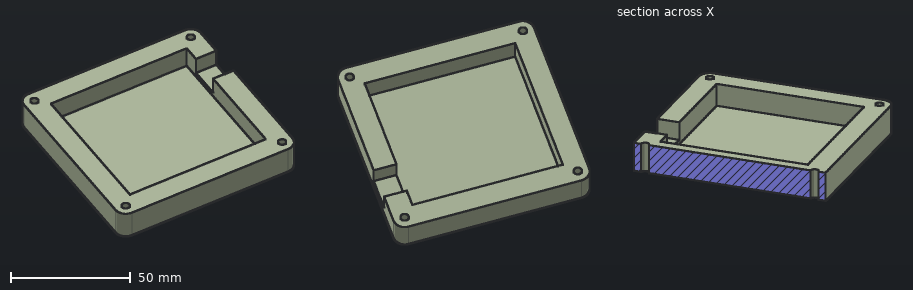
import cadquery as cq

width = 84.5
length = 86.0
height = 13.0
corner_radius = 5.0

wall = 10.0
pocket_depth = 10.0

notch_width = 14.0
notch_offset = 17.55
notch_depth = 8.0

hole_diameter = 3.4
hole_spacing_x = width - 2 * corner_radius
hole_spacing_y = length - 2 * corner_radius

block = (
    cq.Workplane("XY")
    .box(width, length, height, centered=(True, True, False))
    .edges("|Z")
    .fillet(corner_radius)
)

pocket = (
    cq.Workplane("XY", origin=(0, 0, height))
    .rect(width - 2 * wall, length - 2 * wall)
    .extrude(-pocket_depth)
)

notch_center_x = -width / 2 + notch_offset + notch_width / 2
notch_center_y = length / 2 - wall / 2
notch = (
    cq.Workplane("XY", origin=(notch_center_x, notch_center_y, height))
    .rect(notch_width, wall)
    .extrude(-notch_depth)
)

holes = (
    cq.Workplane("XY")
    .rect(hole_spacing_x, hole_spacing_y, forConstruction=True)
    .vertices()
    .circle(hole_diameter / 2)
    .extrude(height)
)

result = block.cut(pocket).cut(notch).cut(holes)